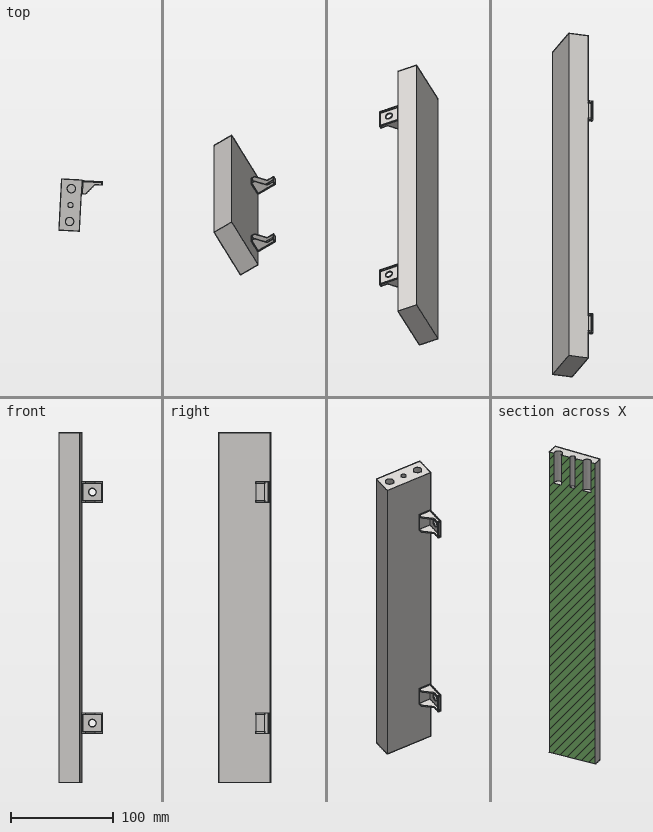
import cadquery as cq

bar_length = 340.0
bar_width = 50.0
bar_thickness = 20.0
tilt_angle = -3.0

hole_depth = 34.0
hole_spacing = 16.0
outer_hole_diameter = 8.0
centre_hole_diameter = 5.0

bracket_size = 20.0
bracket_depth = 13.0
plate_thickness = 1.0
wall_inset = 0.17
pocket_width = 16.5
bracket_foot = 4.0
bracket_tip_depth = 3.5
bracket_tip_length = 7.5
bracket_hole_diameter = 7.0
bracket_setback = 0.7
bracket_spacing = 224.5

bar_face = bar_thickness / 2
shelf_face = bar_width / 2 - bracket_setback


def turn(body):
    """Turn a body from the bar's own axes to its tilted position."""
    return body.rotate((0, 0, 0), (0, 0, 1), tilt_angle)


def make_bar():
    """Rectangular bar with three blind holes in its top end."""
    bar = cq.Workplane("XY").box(bar_thickness, bar_width, bar_length)
    top = bar.faces(">Z").workplane()
    bar = top.pushPoints([(0, -hole_spacing), (0, hole_spacing)]).hole(outer_hole_diameter, hole_depth)
    bar = bar.faces(">Z").workplane().hole(centre_hole_diameter, hole_depth)
    return turn(bar)


def slab(outline, width):
    """Extrude an outline to a width centred on the bracket's mid plane."""
    return cq.Workplane("XY").polyline(outline).close().extrude(width / 2, both=True)


def make_bracket(height):
    """Angle bracket on the bar's +X face, centred at the given height."""
    tip = bar_face + bracket_size
    foot = shelf_face - bracket_depth
    tip_edge = shelf_face - bracket_tip_depth
    slope_end = tip - bracket_tip_length

    plates = slab([
        (bar_face, foot),
        (bar_face, shelf_face),
        (tip, shelf_face),
        (tip, tip_edge),
        (tip - plate_thickness, tip_edge),
        (tip - plate_thickness, shelf_face - plate_thickness),
        (bar_face + plate_thickness, shelf_face - plate_thickness),
        (bar_face + plate_thickness, foot),
    ], bracket_size)

    walls = slab([
        (bar_face, foot),
        (bar_face, shelf_face),
        (tip, shelf_face),
        (tip, tip_edge),
        (slope_end, tip_edge),
        (bar_face + bracket_foot, foot),
    ], bracket_size - 2 * wall_inset)
    pocket = cq.Workplane("XY").box(
        bracket_size - 2 * plate_thickness, bracket_depth, pocket_width
    ).translate((
        bar_face + bracket_size / 2,
        shelf_face - plate_thickness - bracket_depth / 2,
        0,
    ))

    screw_hole = (
        cq.Workplane("XZ", origin=(bar_face + bracket_size / 2, shelf_face, 0))
        .circle(bracket_hole_diameter / 2)
        .extrude(bracket_depth)
    )
    bracket = walls.cut(pocket).union(plates).cut(screw_hole)
    return turn(bracket.translate((0, 0, height)))


bar = make_bar()
brackets = []
for height in (-bracket_spacing / 2, bracket_spacing / 2):
    brackets.append(make_bracket(height).val())

result = cq.Compound.makeCompound([bar.val(), *brackets])